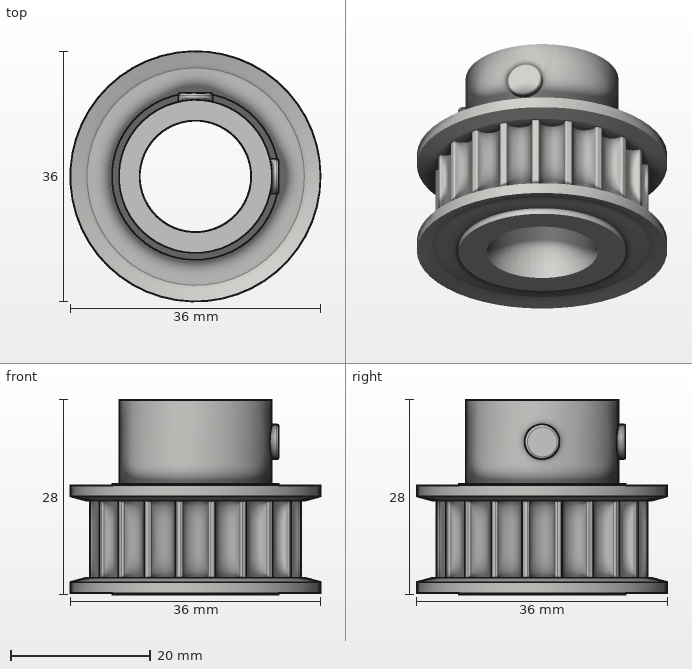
import cadquery as cq

FLANGE_DIAMETER = 36.0
TOTAL_HEIGHT = 28.0
BELT_END_HEIGHT = 16.0
HUB_DIAMETER = 22.0
COLLAR_DIAMETER = 24.0
BORE_DIAMETER = 16.0

TOOTH_COUNT = 20
TIP_RADIUS = 15.35
GROOVE_RADIUS = 1.85
ROOT_RADIUS = 13.3
TIP_FILLET = 0.3
TOOTH_START = 2.5
TOOTH_LENGTH = BELT_END_HEIGHT - 2 * TOOTH_START

FLANGE_THICKNESS = 1.6
FLANGE_FLAT_RADIUS = 15.62
FLANGE_DISH = 0.65

SHANK_DIAMETER = 4.15
HEAD_DIAMETER = 5.0
SHANK_REACH = 8.0
HEAD_SEAT_REACH = 10.08
HEAD_REACH = 12.0
SCREW_END_FILLET = 0.35
SCREW_HEIGHT = (BELT_END_HEIGHT + TOTAL_HEIGHT) / 2
SCREW_ANGLES = (0, 90)


def disc(diameter, bottom, height):
    """Upright cylinder on the pulley axis."""
    return cq.Workplane("XY").workplane(offset=bottom).circle(diameter / 2).extrude(height)


def toothed_section():
    """Disc with round belt grooves and rounded tooth tips, one groove facing -Y."""
    grooves = (
        cq.Workplane("XY")
        .workplane(offset=TOOTH_START)
        .polarArray(ROOT_RADIUS + GROOVE_RADIUS, -90, 360, TOOTH_COUNT)
        .circle(GROOVE_RADIUS)
        .extrude(TOOTH_LENGTH)
    )
    blank = disc(2 * TIP_RADIUS, TOOTH_START, TOOTH_LENGTH)
    return blank.cut(grooves).edges("|Z").fillet(TIP_FILLET)


def radial_rod(diameter, inner_reach, outer_reach):
    """Rod along +X at screw height, between two distances from the pulley axis."""
    base = cq.Workplane("YZ", origin=(inner_reach, 0, SCREW_HEIGHT))
    return base.circle(diameter / 2).extrude(outer_reach - inner_reach)


def turned(shape, angle):
    """Shape turned about the pulley axis."""
    return shape.rotate((0, 0, 0), (0, 0, 1), angle)


def set_screw(angle):
    """Headed radial screw with rounded ends, pointing along the angle from +X."""
    shank = radial_rod(SHANK_DIAMETER, SHANK_REACH, HEAD_SEAT_REACH)
    shank = shank.faces("<X").edges().fillet(SCREW_END_FILLET)
    head = radial_rod(HEAD_DIAMETER, HEAD_SEAT_REACH, HEAD_REACH)
    head = head.faces(">X").edges().fillet(SCREW_END_FILLET)
    return turned(shank.union(head), angle)


def screw_hole(angle):
    """Stepped radial hole through the hub wall, fitting the shank and the head."""
    shank_hole = radial_rod(SHANK_DIAMETER, 0, HEAD_SEAT_REACH)
    head_recess = radial_rod(HEAD_DIAMETER, HEAD_SEAT_REACH, HEAD_REACH)
    return turned(shank_hole.union(head_recess), angle)


def pulley_body():
    """Toothed section, collars and hub in one piece, bored through."""
    body = toothed_section()
    body = body.union(disc(COLLAR_DIAMETER, 0, BELT_END_HEIGHT))
    body = body.union(disc(HUB_DIAMETER, 0, TOTAL_HEIGHT))
    body = body.cut(disc(BORE_DIAMETER, 0, TOTAL_HEIGHT))
    for angle in SCREW_ANGLES:
        body = body.cut(screw_hole(angle))
    return body


def bottom_flange():
    """Ring around the lower collar, its rim dished away from the teeth."""
    inner = COLLAR_DIAMETER / 2
    rim = FLANGE_DIAMETER / 2
    flat_top = TOOTH_START
    rim_top = flat_top - FLANGE_DISH
    profile = [
        (inner, flat_top),
        (FLANGE_FLAT_RADIUS, flat_top),
        (rim, rim_top),
        (rim, rim_top - FLANGE_THICKNESS),
        (FLANGE_FLAT_RADIUS, flat_top - FLANGE_THICKNESS),
        (inner, flat_top - FLANGE_THICKNESS),
    ]
    return cq.Workplane("XZ").polyline(profile).close().revolve(360, (0, 0, 0), (0, 1, 0))


pulley = pulley_body()
lower_flange = bottom_flange()
upper_flange = lower_flange.mirror("XY", (0, 0, BELT_END_HEIGHT / 2))
screws = [set_screw(angle) for angle in SCREW_ANGLES]

result = cq.Compound.makeCompound(
    [
        pulley.val(),
        lower_flange.val(),
        upper_flange.val(),
        *[screw.val() for screw in screws],
    ]
)